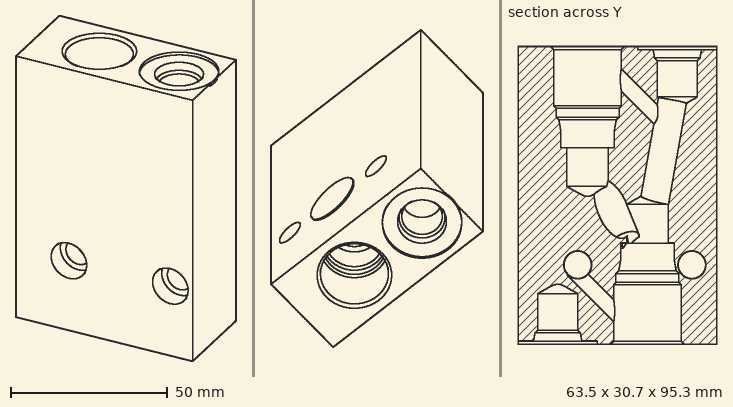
import cadquery as cq
import math

WIDTH = 63.5
DEPTH = 30.2
HEIGHT = 95.25
FRONT = -DEPTH / 2
BACK = DEPTH / 2

MOUNT_XS = (19.05, 55.5)
MOUNT_Z = 25.4
MOUNT_RADIUS = 4.4
MOUNT_BORE_RADIUS = 6.4
MOUNT_BORE_DEPTH = 6.4

TAG_X = sum(MOUNT_XS) / 2
TAG_RADIUS = 9.0
TAG_THICKNESS = 0.5

DRILL_TIP_ANGLE = 31.0
DRILL_TIP_SLOPE = math.tan(math.radians(DRILL_TIP_ANGLE))

SPOTFACE_RADIUS = 12.7
PORT_X = WIDTH - SPOTFACE_RADIUS
SPOTFACE_DEPTH = 1.05
SEAT_TOP_RADIUS = 7.8
SEAT_LOW_RADIUS = 7.3
SEAT_DEPTH = 2.7
PORT_RADIUS = 6.5
PORT_DEPTH = 16.2

CAVITY_X = 22.2
CAVITY_MOUTH_RADIUS = 11.9
CAVITY_RADIUS = 10.9
CAVITY_DEPTH = 19.05
COLLAR_RADIUS = 10.1
COLLAR_LENGTH = 2.9
GUIDE_TOP_RADIUS = 9.2
GUIDE_LOW_RADIUS = 8.6
GUIDE_TAPER_LENGTH = 3.8
GUIDE_DEPTH = 32.4
NOSE_RADIUS = 6.7
NOSE_DEPTH = 44.8

CROSS_RADIUS = 2.9
CROSS_REACH = 23.8

PASSAGE_RADIUS = 9.4 / 2
PORT_PASSAGE_START = (49.3, 0, 78.1)
PORT_PASSAGE_END = (42.6, 0, 40.0)
NOSE_PASSAGE_START = (26.0, -4.5, 53.3)
NOSE_PASSAGE_END = (34.3, 7.3, 33.3)


def turned_cutter(x, wall):
    """Revolve (radius, depth) wall points, listed from the top face down, about a vertical axis at x."""
    outline = [(0, HEIGHT)] + [(radius, HEIGHT - depth) for radius, depth in wall]
    return (
        cq.Workplane("XZ")
        .polyline(outline)
        .close()
        .revolve(360, (0, 0), (0, 1))
        .translate((x, 0, 0))
    )


def cylinder(start, end, radius):
    """Straight cylinder between two points."""
    base = cq.Vector(*start)
    axis = cq.Vector(*end) - base
    return cq.Workplane(cq.Solid.makeCylinder(radius, axis.Length, base, axis))


def port_cutter():
    seat_depth = SPOTFACE_DEPTH + SEAT_DEPTH
    return turned_cutter(PORT_X, [
        (SPOTFACE_RADIUS, 0),
        (SPOTFACE_RADIUS, SPOTFACE_DEPTH),
        (SEAT_TOP_RADIUS, SPOTFACE_DEPTH),
        (SEAT_LOW_RADIUS, seat_depth),
        (PORT_RADIUS, seat_depth + SEAT_LOW_RADIUS - PORT_RADIUS),
        (PORT_RADIUS, PORT_DEPTH),
        (0, PORT_DEPTH + PORT_RADIUS * DRILL_TIP_SLOPE),
    ])


def cavity_cutter():
    collar_top = CAVITY_DEPTH + CAVITY_RADIUS - COLLAR_RADIUS
    collar_low = collar_top + COLLAR_LENGTH
    guide_top = collar_low + COLLAR_RADIUS - GUIDE_TOP_RADIUS
    return turned_cutter(CAVITY_X, [
        (CAVITY_MOUTH_RADIUS, 0),
        (CAVITY_RADIUS, CAVITY_MOUTH_RADIUS - CAVITY_RADIUS),
        (CAVITY_RADIUS, CAVITY_DEPTH),
        (COLLAR_RADIUS, collar_top),
        (COLLAR_RADIUS, collar_low),
        (GUIDE_TOP_RADIUS, guide_top),
        (GUIDE_LOW_RADIUS, guide_top + GUIDE_TAPER_LENGTH),
        (GUIDE_LOW_RADIUS, GUIDE_DEPTH),
        (NOSE_RADIUS, GUIDE_DEPTH),
        (NOSE_RADIUS, NOSE_DEPTH),
        (0, NOSE_DEPTH + NOSE_RADIUS * DRILL_TIP_SLOPE),
    ])


def cross_cutter():
    return cylinder(
        (CAVITY_X, 0, HEIGHT),
        (CAVITY_X + CROSS_REACH, 0, HEIGHT - CROSS_REACH),
        CROSS_RADIUS,
    )


def half_turn(cutter):
    """Carry a cutter from the top face to the bottom face, turning about the block's Y centre line."""
    return cutter.rotate((WIDTH / 2, 0, HEIGHT / 2), (WIDTH / 2, 1, HEIGHT / 2), 180)


def cut_mounting_holes(block):
    for x in MOUNT_XS:
        face_point = (x, FRONT, MOUNT_Z)
        bore_floor = (x, FRONT + MOUNT_BORE_DEPTH, MOUNT_Z)
        block = block.cut(cylinder(face_point, (x, BACK, MOUNT_Z), MOUNT_RADIUS))
        block = block.cut(cylinder(face_point, bore_floor, MOUNT_BORE_RADIUS))
    return block


def make_block():
    block = cq.Workplane("XY").box(WIDTH, DEPTH, HEIGHT, centered=(False, True, False))
    block = cut_mounting_holes(block)
    for cutter in (port_cutter(), cavity_cutter(), cross_cutter()):
        block = block.cut(cutter).cut(half_turn(cutter))
    block = block.cut(cylinder(PORT_PASSAGE_START, PORT_PASSAGE_END, PASSAGE_RADIUS))
    return block.cut(cylinder(NOSE_PASSAGE_START, NOSE_PASSAGE_END, PASSAGE_RADIUS))


def make_tag():
    return cylinder((TAG_X, BACK, MOUNT_Z), (TAG_X, BACK + TAG_THICKNESS, MOUNT_Z), TAG_RADIUS)


block = make_block()
tag = make_tag()
result = cq.Compound.makeCompound([block.val(), tag.val()])